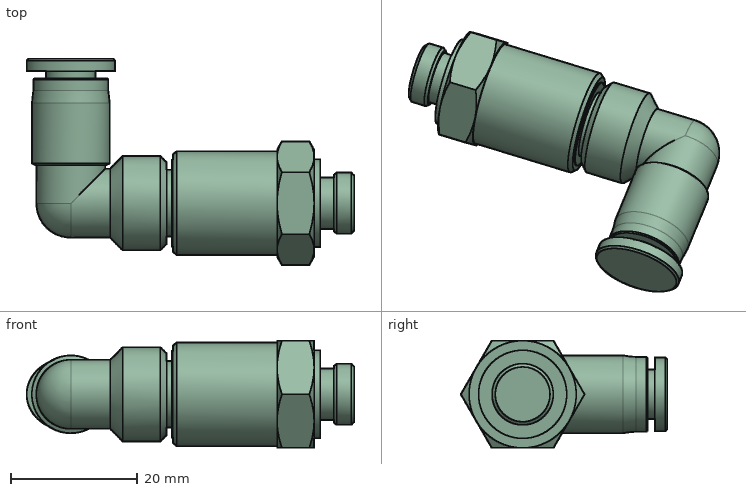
import cadquery as cq
import math


pipe_diameter = 11.0
shoulder_start = 6.25
shoulder_full = 8.2
shoulder_diameter = 15.0
shoulder_end = 15.2
shoulder_chamfer = 1.0
stem_diameter = 10.6

socket_diameter = 12.4
socket_start = 6.0
socket_step_length = 0.3
socket_taper_start = 15.95
mouth_start = 17.95
mouth_diameter = 11.9
mouth_chamfer = 0.2
socket_end = 19.85

collar_neck_diameter = 7.9
flange_start = 21.0
flange_end = 22.95
flange_width = 14.05
flange_height = 11.75
flange_chamfer = 0.3

housing_start = 16.05
lip_diameter = 13.8
lip_length = 0.15
sleeve_diameter = 16.5
sleeve_chamfer_length = 0.6
sleeve_chamfer_depth = 0.5
hex_start = 32.75
hex_end = 38.6
hex_across_flats = 17.0
hex_chamfer_angle = 30.0
relief_diameter = 8.2
thread_start = 41.75
thread_diameter = 9.75
thread_chamfer = 0.5
thread_inner_chamfer_length = 0.45
thread_inner_chamfer_depth = 0.35
thread_end = 45.0

gasket_diameter = 14.0
gasket_thickness = 1.0


def turned_on_x(outline):
    """Revolve (x, radius) corners about the run axis; the outline closes along the axis."""
    first_x = outline[0][0]
    last_x = outline[-1][0]
    points = [(first_x, 0), *outline, (last_x, 0)]
    return cq.Workplane("XY").polyline(points).close().revolve(360, (0, 0), (1, 0))


def turned_on_y(outline):
    """Revolve (radius, y) corners about the branch axis; the outline closes along the axis."""
    first_y = outline[0][1]
    last_y = outline[-1][1]
    points = [(0, first_y), *outline, (0, last_y)]
    return cq.Workplane("XY").polyline(points).close().revolve(360, (0, 0), (0, 1))


def make_elbow():
    pipe_radius = pipe_diameter / 2
    shoulder_radius = shoulder_diameter / 2
    stem_radius = stem_diameter / 2
    socket_radius = socket_diameter / 2
    mouth_radius = mouth_diameter / 2

    run = turned_on_x([
        (0, pipe_radius),
        (shoulder_start, pipe_radius),
        (shoulder_full, shoulder_radius),
        (shoulder_end - shoulder_chamfer, shoulder_radius),
        (shoulder_end, shoulder_radius - shoulder_chamfer),
        (shoulder_end, stem_radius),
        (housing_start, stem_radius),
    ])
    branch = turned_on_y([
        (pipe_radius, 0),
        (pipe_radius, socket_start),
        (socket_radius, socket_start + socket_step_length),
        (socket_radius, socket_taper_start),
        (mouth_radius, mouth_start),
        (mouth_radius, socket_end - mouth_chamfer),
        (mouth_radius - mouth_chamfer, socket_end),
    ])
    bend = cq.Workplane("XY").sphere(pipe_radius)
    return run.union(branch).union(bend)


def make_release_collar():
    neck_radius = collar_neck_diameter / 2
    neck = turned_on_y([(neck_radius, socket_end), (neck_radius, flange_start)])
    flange = (
        cq.Workplane("XZ", origin=(0, flange_start, 0))
        .ellipse(flange_width / 2, flange_height / 2)
        .extrude(flange_start - flange_end)
        .faces(">Y")
        .chamfer(flange_chamfer)
    )
    return neck.union(flange)


def make_hexagon():
    """Hexagon with flats facing +Z and -Z and its corners bevelled at both ends."""
    flat_radius = hex_across_flats / 2
    corner_radius = flat_radius / math.cos(math.radians(30))
    bevel_length = (corner_radius - flat_radius) * math.tan(math.radians(hex_chamfer_angle))
    prism = (
        cq.Workplane("YZ", origin=(hex_start, 0, 0))
        .polygon(6, 2 * corner_radius)
        .extrude(hex_end - hex_start)
    )
    bevelled_envelope = turned_on_x([
        (hex_start, flat_radius),
        (hex_start + bevel_length, corner_radius),
        (hex_end - bevel_length, corner_radius),
        (hex_end, flat_radius),
    ])
    return prism.intersect(bevelled_envelope)


def make_housing():
    sleeve_radius = sleeve_diameter / 2
    lip_radius = lip_diameter / 2
    sleeve_start = housing_start + lip_length
    relief_radius = relief_diameter / 2
    thread_radius = thread_diameter / 2

    sleeve = turned_on_x([
        (housing_start, lip_radius),
        (sleeve_start, lip_radius),
        (sleeve_start, sleeve_radius - sleeve_chamfer_depth),
        (sleeve_start + sleeve_chamfer_length, sleeve_radius),
        (hex_start, sleeve_radius),
    ])
    threaded_end = turned_on_x([
        (hex_end, relief_radius),
        (thread_start, relief_radius),
        (thread_start, thread_radius - thread_inner_chamfer_depth),
        (thread_start + thread_inner_chamfer_length, thread_radius),
        (thread_end - thread_chamfer, thread_radius),
        (thread_end, thread_radius - thread_chamfer),
    ])
    return sleeve.union(make_hexagon()).union(threaded_end)


def make_gasket():
    return (
        cq.Workplane("YZ", origin=(hex_end, 0, 0))
        .circle(gasket_diameter / 2)
        .circle(relief_diameter / 2)
        .extrude(gasket_thickness)
    )


elbow = make_elbow()
release_collar = make_release_collar()
housing = make_housing()
gasket = make_gasket()

result = cq.Compound.makeCompound([
    elbow.val(),
    release_collar.val(),
    housing.val(),
    gasket.val(),
])